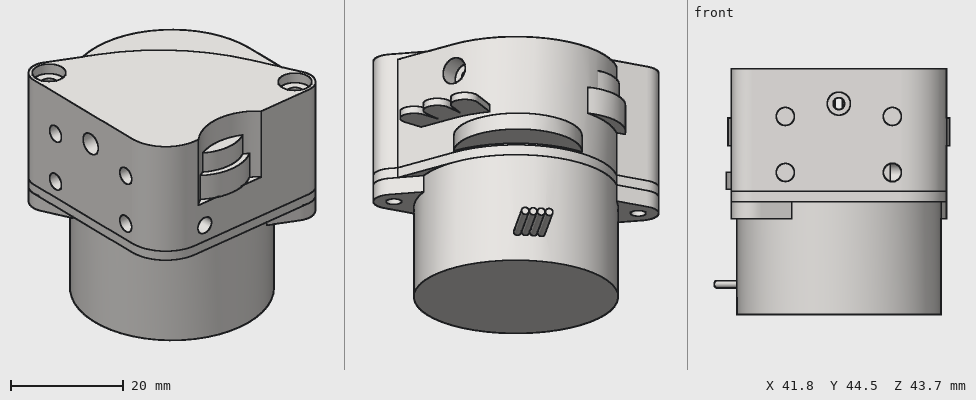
import cadquery as cq
import math


MOTOR_TOP = 20.05
PLATE_TOP = 21.95
HOUSING_TOP = 43.65
COVER_THICKNESS = 1.1
COVER_BOTTOM = HOUSING_TOP - COVER_THICKNESS

BODY_RADIUS = 18.15
EAR_OFFSET = 15.45
EAR_RADIUS = 3.65
SIDE = EAR_OFFSET + EAR_RADIUS
CORNER_RADIUS = 8.0
FLANK_TILT = math.radians(25.3)
COVER_ARC_RADIUS = 40.2

SCREW_HOLE_RADIUS = 1.4
SCREW_HEAD_RADIUS = 3.0
SCREW_HEAD_DEPTH = 2.0

EAR_THICKNESS = 3.08
EAR_FLANK_LENGTH = 8.02

WIRE_COUNT = 4
WIRE_RADIUS = 0.65
WIRE_PITCH = 1.43
WIRE_HEIGHT = 5.4
WIRE_END_DISTANCE = 28.5
WIRE_START_DISTANCE = 13.35

GEAR_X = 10.07
GEAR_Y = -3.0
WIDE_GEAR_RADIUS = 9.63
NARROW_GEAR_RADIUS = 8.5
GEAR_BOTTOM = 29.95
GEAR_STEP = 34.9
GEAR_TOP = 38.85

SCOOP_RADIUS = 10.45
SCOOP_REACH = 16.05

DISC_X = -8.6
DISC_Y = 10.7
DISC_RADIUS = 11.4
DISC_BOTTOM = 22.25
DISC_THICKNESS = 3.05

FINGER_COUNT = 3
FINGER_ANGLE = 12.6
FINGER_REACH = 25.95
FINGER_RADIUS = 2.5
FINGER_START = 17.85
LEVER_BOTTOM = 28.45
LEVER_THICKNESS = 1.35

MOUNT_HOLE_X = 9.5
MOUNT_HOLE_HEIGHTS = (25.23, 35.15)
MOUNT_HOLE_RADIUS = 1.6
MOUNT_HOLE_DEPTH = 10.0

SIDE_HOLE_END = 9.1
SIDE_HOLE_Y = -8.9

FILAMENT_HEIGHT = 37.45
FILAMENT_RADIUS = 1.03
FILAMENT_INLET_RADIUS = 2.05
FILAMENT_OUTLET_RADIUS = 2.4
FILAMENT_SEAT_DEPTH = 3.55
ROLLER_GAP = 1.3
ROLLER_RADIUS = 3.55

EAR_CENTERS = [(-EAR_OFFSET, -EAR_OFFSET), (EAR_OFFSET, EAR_OFFSET)]


def cylinder(x, y, radius, bottom, top):
    """Upright cylinder."""
    return cq.Workplane("XY", origin=(x, y, bottom)).circle(radius).extrude(top - bottom)


def bore_y(x, z, radius, front, back):
    """Cylinder along +Y from Y = front to Y = back."""
    plane = cq.Plane(origin=(x, front, z), xDir=(1, 0, 0), normal=(0, 1, 0))
    return cq.Workplane(plane).circle(radius).extrude(back - front)


def cover_slab(bottom, top):
    """Slab with two round ears, a large round corner and a bowed edge tangent to both flanks."""
    normal_x = -math.cos(FLANK_TILT)
    normal_y = math.sin(FLANK_TILT)
    flank_distance = EAR_RADIUS - EAR_OFFSET * (normal_x + normal_y)
    arc_center = (COVER_ARC_RADIUS - flank_distance) / (normal_y - normal_x)
    arc_middle = COVER_ARC_RADIUS / math.sqrt(2) - arc_center

    ear_tangent = (-EAR_OFFSET + EAR_RADIUS * normal_x, -EAR_OFFSET + EAR_RADIUS * normal_y)
    flank_end = (arc_center + COVER_ARC_RADIUS * normal_x, -arc_center + COVER_ARC_RADIUS * normal_y)
    ear_outer = -EAR_OFFSET - EAR_RADIUS / math.sqrt(2)
    corner_start = SIDE - CORNER_RADIUS
    corner_middle = corner_start + CORNER_RADIUS / math.sqrt(2)

    return (
        cq.Workplane("XY", origin=(0, 0, bottom))
        .moveTo(-EAR_OFFSET, -SIDE)
        .lineTo(corner_start, -SIDE)
        .threePointArc((corner_middle, -corner_middle), (SIDE, -corner_start))
        .lineTo(SIDE, EAR_OFFSET)
        .threePointArc((-ear_outer, -ear_outer), (-ear_tangent[1], -ear_tangent[0]))
        .lineTo(-flank_end[1], -flank_end[0])
        .threePointArc((-arc_middle, arc_middle), flank_end)
        .lineTo(*ear_tangent)
        .threePointArc((ear_outer, ear_outer), (-EAR_OFFSET, -SIDE))
        .close()
        .extrude(top - bottom)
    )


def body_slab(bottom, top):
    """Cover slab widened by the round body and its straight back."""
    back_length = EAR_OFFSET - EAR_RADIUS / 2
    back = (
        cq.Workplane("XY", origin=(0, 0, bottom))
        .rect(back_length, BODY_RADIUS, centered=False)
        .extrude(top - bottom)
    )
    round_body = cylinder(0, 0, BODY_RADIUS, bottom, top)
    return cover_slab(bottom, top).union(round_body).union(back)


def cut_screw_holes(body):
    for x, y in EAR_CENTERS:
        body = body.cut(cylinder(x, y, SCREW_HOLE_RADIUS, 0, HOUSING_TOP))
    return body


def motor_ear(x, y):
    """Screw ear whose straight flanks spread from the ear into the motor can."""
    outward = cq.Vector(x, y, 0).normalized()
    bottom = MOTOR_TOP - EAR_THICKNESS
    half_spread = math.pi / 4 + FLANK_TILT
    plane = cq.Plane(origin=(x, y, bottom), xDir=outward.toTuple(), normal=(0, 0, 1))
    tangent_x = EAR_RADIUS * math.cos(half_spread)
    tangent_y = EAR_RADIUS * math.sin(half_spread)
    end_x = tangent_x - EAR_FLANK_LENGTH * math.sin(half_spread)
    end_y = tangent_y + EAR_FLANK_LENGTH * math.cos(half_spread)
    return (
        cq.Workplane(plane)
        .moveTo(end_x, -end_y)
        .lineTo(tangent_x, -tangent_y)
        .threePointArc((EAR_RADIUS, 0), (tangent_x, tangent_y))
        .lineTo(end_x, end_y)
        .close()
        .extrude(EAR_THICKNESS)
    )


def wire(index):
    """One round wire, counted across the ribbon."""
    diagonal = 1 / math.sqrt(2)
    across = (index - (WIRE_COUNT - 1) / 2) * WIRE_PITCH
    start = (
        (across - WIRE_START_DISTANCE) * diagonal,
        (across + WIRE_START_DISTANCE) * diagonal,
        WIRE_HEIGHT,
    )
    plane = cq.Plane(origin=start, xDir=(0, 0, 1), normal=(-1, 1, 0))
    return cq.Workplane(plane).circle(WIRE_RADIUS).extrude(WIRE_END_DISTANCE - WIRE_START_DISTANCE)


def make_motor():
    motor = cylinder(0, 0, BODY_RADIUS, 0, MOTOR_TOP)
    for x, y in EAR_CENTERS:
        motor = motor.union(motor_ear(x, y))
    for index in range(WIRE_COUNT):
        motor = motor.union(wire(index))
    return cut_screw_holes(motor)


def make_plate():
    return cut_screw_holes(body_slab(MOTOR_TOP, PLATE_TOP))


def gear_pair():
    """Two stepped round gears, one on each side of the filament path."""
    gears = cq.Workplane("XY")
    for x in (-GEAR_X, GEAR_X):
        gears = gears.add(cylinder(x, GEAR_Y, WIDE_GEAR_RADIUS, GEAR_BOTTOM, GEAR_STEP))
        gears = gears.add(cylinder(x, GEAR_Y, NARROW_GEAR_RADIUS, GEAR_STEP, GEAR_TOP))
    return gears.combine()


def finger(angle):
    """Round-ended lever finger pointing to +Y, turned about the gear line."""
    length = FINGER_REACH - FINGER_START
    bar = (
        cq.Workplane("XY", origin=(0, GEAR_Y + FINGER_START, LEVER_BOTTOM))
        .rect(2 * FINGER_RADIUS, 2 * length)
        .extrude(LEVER_THICKNESS)
    )
    tip = cylinder(0, GEAR_Y + FINGER_REACH, FINGER_RADIUS, LEVER_BOTTOM, LEVER_BOTTOM + LEVER_THICKNESS)
    return bar.union(tip).rotate((0, GEAR_Y, 0), (0, GEAR_Y, 1), angle)


def filament_path():
    """Stepped bore through the housing, narrowed where it passes between the rollers."""
    path = bore_y(0, FILAMENT_HEIGHT, FILAMENT_RADIUS, -SIDE, SIDE)
    roller_bottom = FILAMENT_HEIGHT - FILAMENT_INLET_RADIUS
    roller_top = FILAMENT_HEIGHT + FILAMENT_INLET_RADIUS
    roller_x = ROLLER_GAP / 2 + ROLLER_RADIUS
    for x in (-roller_x, roller_x):
        path = path.cut(cylinder(x, GEAR_Y, ROLLER_RADIUS, roller_bottom, roller_top))
    inlet = bore_y(0, FILAMENT_HEIGHT, FILAMENT_INLET_RADIUS, -SIDE, -SIDE + FILAMENT_SEAT_DEPTH)
    outlet = bore_y(0, FILAMENT_HEIGHT, FILAMENT_OUTLET_RADIUS, BODY_RADIUS - FILAMENT_SEAT_DEPTH, SIDE)
    return path.union(inlet).union(outlet)


def cut_mount_holes(body):
    for x in (-MOUNT_HOLE_X, MOUNT_HOLE_X):
        for z in MOUNT_HOLE_HEIGHTS:
            body = body.cut(bore_y(x, z, MOUNT_HOLE_RADIUS, -SIDE, -SIDE + MOUNT_HOLE_DEPTH))
    side_hole = (
        cq.Workplane("YZ", origin=(SIDE_HOLE_END, SIDE_HOLE_Y, MOUNT_HOLE_HEIGHTS[0]))
        .circle(MOUNT_HOLE_RADIUS)
        .extrude(SIDE - SIDE_HOLE_END)
    )
    return body.cut(side_hole)


def make_housing():
    housing = body_slab(PLATE_TOP, COVER_BOTTOM).union(cover_slab(COVER_BOTTOM, HOUSING_TOP))
    housing = housing.cut(
        cylinder(SCOOP_REACH + SCOOP_RADIUS, GEAR_Y, SCOOP_RADIUS, GEAR_BOTTOM, HOUSING_TOP)
    )
    housing = housing.union(gear_pair())
    housing = housing.union(
        cylinder(DISC_X, DISC_Y, DISC_RADIUS, DISC_BOTTOM, DISC_BOTTOM + DISC_THICKNESS)
    )
    for index in range(FINGER_COUNT):
        housing = housing.union(finger((index - (FINGER_COUNT - 1) / 2) * FINGER_ANGLE))
    housing = cut_mount_holes(housing).cut(filament_path())
    for x, y in EAR_CENTERS:
        housing = housing.cut(
            cylinder(x, y, SCREW_HEAD_RADIUS, HOUSING_TOP - SCREW_HEAD_DEPTH, HOUSING_TOP)
        )
    return cut_screw_holes(housing)


motor = make_motor()
plate = make_plate()
housing = make_housing()

bodies = [motor, plate, housing]
result = cq.Compound.makeCompound([body.solids().val() for body in bodies])